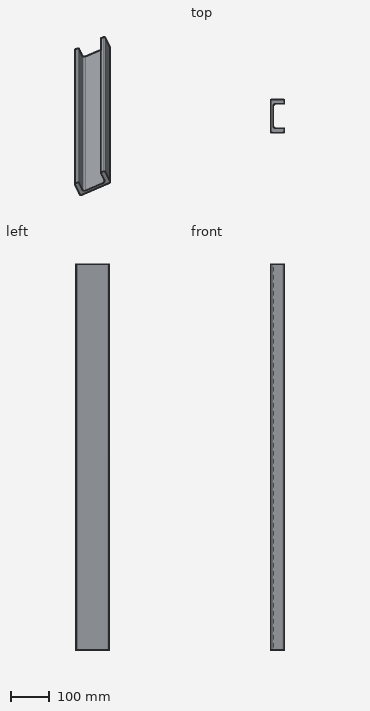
import cadquery as cq

depth = 36.0
height = 86.5
length = 1000.0

web_thickness = 7.0
flange_thickness = 11.75
root_radius = 6.5
outer_radius = 4.0
tip_radius = 2.0

half_height = height / 2
inner_half_height = half_height - flange_thickness
back_x = -depth / 2
web_face_x = back_x + web_thickness
tip_x = depth / 2


def sharp_channel():
    """C section open toward +X, with square corners, extruded along Z."""
    outline = [
        (back_x, -half_height),
        (tip_x, -half_height),
        (tip_x, -inner_half_height),
        (web_face_x, -inner_half_height),
        (web_face_x, inner_half_height),
        (tip_x, inner_half_height),
        (tip_x, half_height),
        (back_x, half_height),
    ]
    return cq.Workplane("XY").polyline(outline).close().extrude(length / 2, both=True)


def round_corner_pair(body, x, y, radius):
    """Fillet the two lengthwise edges that lie at (x, y) and (x, -y)."""
    corners = cq.Workplane("XY")
    for side in (-1, 1):
        edge = body.edges(cq.selectors.NearestToPointSelector((x, side * y, 0)))
        corners = corners.add(edge)
    return body.newObject([body.val().fillet(radius, corners.vals())])


channel = sharp_channel()
channel = round_corner_pair(channel, web_face_x, inner_half_height, root_radius)
channel = round_corner_pair(channel, back_x, half_height, outer_radius)
channel = round_corner_pair(channel, tip_x, half_height, outer_radius)
channel = round_corner_pair(channel, tip_x, inner_half_height, tip_radius)

result = channel